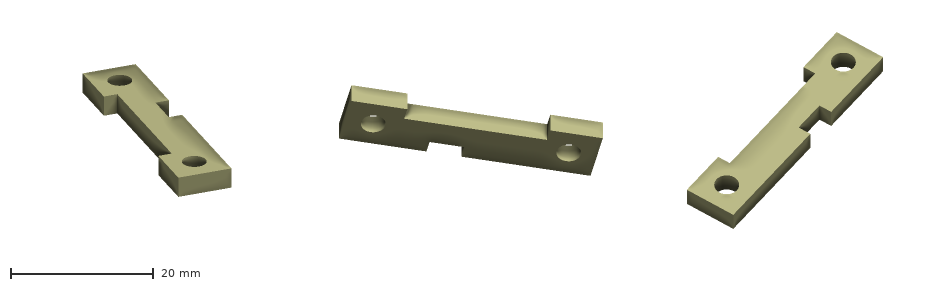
import cadquery as cq

length = 36.0
width = 8.0
thickness = 3.0

hole_diameter = 3.5
hole_end_distance = width / 2

notch_depth = 2.0
back_notch_start = 12.5
back_notch_length = 5.0
front_notch_start = width
front_notch_length = 20.5


def edge_notch(start_x, notch_length, start_y):
    """Block that removes one rectangular notch from a long edge."""
    return cq.Workplane("XY").box(
        notch_length, notch_depth, thickness, centered=False
    ).translate((start_x, start_y, 0))


bar = cq.Workplane("XY").box(length, width, thickness, centered=False)

hole_centers = [
    (hole_end_distance, width / 2),
    (length - hole_end_distance, width / 2),
]
holes = (
    cq.Workplane("XY")
    .pushPoints(hole_centers)
    .circle(hole_diameter / 2)
    .extrude(thickness)
)

back_notch = edge_notch(back_notch_start, back_notch_length, width - notch_depth)
front_notch = edge_notch(front_notch_start, front_notch_length, 0)

result = bar.cut(holes).cut(back_notch).cut(front_notch)